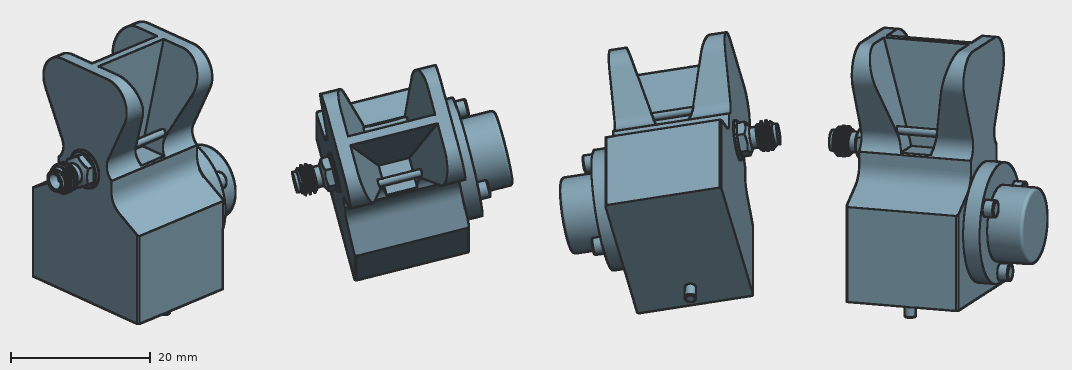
import cadquery as cq
import math

BLOCK_WIDTH = 22.1
BLOCK_DEPTH = 17.0
BLOCK_HEIGHT = 36.85
EDGE_CHAMFER = 0.25
FRONT_Y = -BLOCK_DEPTH / 2
REAR_Y = BLOCK_DEPTH / 2

SHOULDER_SLOPE = math.radians(30)
SHOULDER_RADIUS = 3.2
NECK_HALF_WIDTH = 5.48
NECK_BASE_Z = 19.1
SLOT_FLOOR_Z = 21.2
LEDGE_CHAMFER = 0.27
WAIST_HALF_WIDTH = 4.5
WAIST_RADIUS = 2.5
EAR_HALF_WIDTH = 8.65
EAR_RADIUS = 4.0

WEB_THICKNESS = 1.35
SLOT_TOP_WIDTH = 12.9
SLOT_FLOOR_WIDTH = 4.55

ROD_RADIUS = 0.55
ROD_X = 4.0
ROD_Z = 24.2
ROD_LENGTH = 7.05

PIN_X = 7.6
PIN_DIAMETER = 1.65
PIN_LENGTH = 2.25
PIN_CHAMFER = 0.15

FLANGE_Z = 10.7
FLANGE_DIAMETER = 17.55
FLANGE_THICKNESS = 2.5
COVER_DIAMETER = 11.05
COVER_LENGTH = 5.4
COVER_FILLET = 0.5
SCREW_CIRCLE_RADIUS = 7.15
SCREW_ANGLES = (30, 150, 270)
SCREW_HEAD_DIAMETER = 2.5
SCREW_HEAD_HEIGHT = 1.6
SCREW_CHAMFER = 0.15

CONNECTOR_Z = 20.92
CONNECTOR_LENGTH = 6.02
CONNECTOR_RADIUS = 1.53
COLLAR_RADIUS = 2.95
COLLAR_TIP_RADIUS = 2.7
COLLAR_RIM = 0.1
COLLAR_THICKNESS = 0.43
HEX_ACROSS_FLATS = 4.38
HEX_CHAMFER_START = 1.5
HEX_CHAMFER_ANGLE = math.radians(30)
THREAD_START = 3.05
THREAD_END = 5.45
THREAD_END_RADIUS = 1.65
THREAD_ROOT_RADIUS = 1.8
THREAD_CREST_RADIUS = 2.2
THREAD_PITCH = 0.7
THREAD_LEAD_IN = 0.2
THREAD_BASE_WIDTH = 0.45
THREAD_CREST_WIDTH = 0.1
THREAD_EMBED = 0.1
THREAD_CREST_CLEARANCE = 0.02
BORE_RADIUS = 1.2
BORE_DEPTH = 2.35
CONTACT_RADIUS = 0.5
CONTACT_HOLE_RADIUS = 0.2
CONTACT_LENGTH = 1.17


def point_on_circle(center, radius, angle):
    return (center[0] + radius * math.cos(angle), center[1] + radius * math.sin(angle))


def cylinder(plane, center, diameter, length):
    """Cylinder standing on a workplane and growing along its normal."""
    return cq.Workplane(plane).center(*center).circle(diameter / 2).extrude(length)


def half_block():
    """Right half of the block outline (X, Z), extruded through the full depth."""
    half_width = BLOCK_WIDTH / 2

    shoulder_center = (NECK_HALF_WIDTH + SHOULDER_RADIUS, NECK_BASE_Z)
    shoulder_end_angle = 1.5 * math.pi - SHOULDER_SLOPE
    shoulder_start = point_on_circle(shoulder_center, SHOULDER_RADIUS, shoulder_end_angle)
    shoulder_middle = point_on_circle(
        shoulder_center, SHOULDER_RADIUS, (math.pi + shoulder_end_angle) / 2)
    shoulder_drop = (half_width - shoulder_start[0]) * math.tan(SHOULDER_SLOPE)

    ledge_x = NECK_HALF_WIDTH - LEDGE_CHAMFER
    waist_x = WAIST_HALF_WIDTH + WAIST_RADIUS
    waist_rise = math.sqrt(WAIST_RADIUS**2 - (waist_x - ledge_x)**2)
    waist_center = (waist_x, SLOT_FLOOR_Z + waist_rise)

    ear_center = (EAR_HALF_WIDTH - EAR_RADIUS, BLOCK_HEIGHT - EAR_RADIUS)
    center_dx = waist_center[0] - ear_center[0]
    center_dz = waist_center[1] - ear_center[1]
    center_gap = math.hypot(center_dx, center_dz)
    tangent_angle = (math.atan2(center_dz, center_dx)
                     + math.acos((EAR_RADIUS + WAIST_RADIUS) / center_gap))
    waist_top = point_on_circle(waist_center, WAIST_RADIUS, tangent_angle + math.pi)
    ear_bottom = point_on_circle(ear_center, EAR_RADIUS, tangent_angle)

    return (
        cq.Workplane("XZ", origin=(0, REAR_Y, 0))
        .lineTo(half_width, 0)
        .lineTo(half_width, shoulder_start[1] - shoulder_drop)
        .lineTo(*shoulder_start)
        .threePointArc(shoulder_middle, (NECK_HALF_WIDTH, NECK_BASE_Z))
        .lineTo(NECK_HALF_WIDTH, SLOT_FLOOR_Z - LEDGE_CHAMFER)
        .lineTo(ledge_x, SLOT_FLOOR_Z)
        .threePointArc((WAIST_HALF_WIDTH, waist_center[1]), waist_top)
        .lineTo(*ear_bottom)
        .threePointArc((EAR_HALF_WIDTH, ear_center[1]), (ear_center[0], BLOCK_HEIGHT))
        .lineTo(0, BLOCK_HEIGHT)
        .close()
        .extrude(BLOCK_DEPTH)
    )


def side_slot():
    """Tapered opening from the web outward on the right side."""
    return (
        cq.Workplane("YZ", origin=(WEB_THICKNESS / 2, 0, 0))
        .moveTo(-SLOT_FLOOR_WIDTH / 2, SLOT_FLOOR_Z)
        .lineTo(SLOT_FLOOR_WIDTH / 2, SLOT_FLOOR_Z)
        .lineTo(SLOT_TOP_WIDTH / 2, BLOCK_HEIGHT)
        .lineTo(-SLOT_TOP_WIDTH / 2, BLOCK_HEIGHT)
        .close()
        .extrude(BLOCK_WIDTH / 2)
    )


def slot_rod():
    rear_end = cq.Plane(origin=(0, ROD_LENGTH / 2, 0), xDir=(1, 0, 0), normal=(0, -1, 0))
    return cylinder(rear_end, (ROD_X, ROD_Z), 2 * ROD_RADIUS, ROD_LENGTH)


def main_body():
    right_half = half_block().edges("|Z and >X").chamfer(EDGE_CHAMFER)
    right_half = right_half.cut(side_slot()).union(slot_rod())
    return right_half.union(right_half.mirror("YZ"))


def locating_pin():
    pin = cylinder(cq.Plane.XY(), (PIN_X, 0), PIN_DIAMETER, -PIN_LENGTH)
    return pin.faces("<Z").chamfer(PIN_CHAMFER)


def rear_plane(y):
    """Plane facing +Y at the flange axis, with its local Y along Z."""
    return cq.Plane(origin=(0, y, FLANGE_Z), xDir=(-1, 0, 0), normal=(0, 1, 0))


def rear_cover():
    flange_face = rear_plane(REAR_Y + FLANGE_THICKNESS)
    assembly = cylinder(rear_plane(REAR_Y), (0, 0), FLANGE_DIAMETER, FLANGE_THICKNESS)
    cover = cylinder(flange_face, (0, 0), COVER_DIAMETER, COVER_LENGTH)
    assembly = assembly.union(cover.faces(">Y").edges().fillet(COVER_FILLET))
    for angle in SCREW_ANGLES:
        place = point_on_circle((0, 0), SCREW_CIRCLE_RADIUS, math.radians(angle))
        head = cylinder(flange_face, place, SCREW_HEAD_DIAMETER, SCREW_HEAD_HEIGHT)
        assembly = assembly.union(head.faces(">Y").chamfer(SCREW_CHAMFER))
    return assembly


def turned(profile):
    """Revolve a (radius, height) outline about the local Z axis."""
    return cq.Workplane("XZ").polyline(profile).close().revolve(360, (0, 0, 0), (0, 1, 0))


def hex_nut():
    """Hexagon with corners on local Y and a conical outer end."""
    corner_radius = HEX_ACROSS_FLATS / math.sqrt(3)
    cone_height = (corner_radius - CONNECTOR_RADIUS) * math.tan(HEX_CHAMFER_ANGLE)
    nut_end = HEX_CHAMFER_START + cone_height
    prism = (
        cq.Workplane("XY")
        .polygon(6, 2 * corner_radius)
        .extrude(nut_end)
        .rotate((0, 0, 0), (0, 0, 1), 30)
    )
    cone = turned([
        (0, 0),
        (corner_radius, 0),
        (corner_radius, HEX_CHAMFER_START),
        (CONNECTOR_RADIUS, nut_end),
        (0, nut_end),
    ])
    return prism.intersect(cone)


def thread_envelope():
    """Threaded length, turned just clear of the crest, with 45 degree ends."""
    radius = THREAD_CREST_RADIUS + THREAD_CREST_CLEARANCE
    taper = radius - THREAD_END_RADIUS
    return turned([
        (0, THREAD_START),
        (THREAD_END_RADIUS, THREAD_START),
        (radius, THREAD_START + taper),
        (radius, THREAD_END - taper),
        (THREAD_END_RADIUS, THREAD_END),
        (0, THREAD_END),
    ])


def thread():
    """Right-handed ridge on a root cylinder, trimmed to the tapered envelope."""
    inner_radius = THREAD_ROOT_RADIUS - THREAD_EMBED
    helix_height = THREAD_LEAD_IN + THREAD_END - THREAD_START
    helix = cq.Wire.makeHelix(THREAD_PITCH, helix_height, inner_radius)
    ridge = (
        cq.Workplane("XZ")
        .polyline([
            (inner_radius, -THREAD_BASE_WIDTH / 2),
            (THREAD_CREST_RADIUS, -THREAD_CREST_WIDTH / 2),
            (THREAD_CREST_RADIUS, THREAD_CREST_WIDTH / 2),
            (inner_radius, THREAD_BASE_WIDTH / 2),
        ])
        .close()
        .sweep(cq.Workplane(helix), isFrenet=True)
        .translate((0, 0, THREAD_START - THREAD_LEAD_IN))
    )
    root = cylinder(cq.Plane.XY(), (0, 0), 2 * THREAD_ROOT_RADIUS, CONNECTOR_LENGTH)
    return root.union(ridge).intersect(thread_envelope())


def connector():
    """Connector built outward along local Z, then laid against the front face."""
    collar = turned([
        (0, 0),
        (COLLAR_RADIUS, 0),
        (COLLAR_RADIUS, COLLAR_RIM),
        (COLLAR_TIP_RADIUS, COLLAR_THICKNESS),
        (0, COLLAR_THICKNESS),
    ])
    barrel = cylinder(cq.Plane.XY(), (0, 0), 2 * CONNECTOR_RADIUS, CONNECTOR_LENGTH)
    bore_floor = cq.Plane(origin=(0, 0, CONNECTOR_LENGTH - BORE_DEPTH))
    bore = cylinder(bore_floor, (0, 0), 2 * BORE_RADIUS, BORE_DEPTH)
    contact = cylinder(bore_floor, (0, 0), 2 * CONTACT_RADIUS, CONTACT_LENGTH)
    contact_hole = cylinder(bore_floor, (0, 0), 2 * CONTACT_HOLE_RADIUS, CONTACT_LENGTH)

    body = collar.union(hex_nut()).union(barrel).union(thread()).cut(bore)
    body = body.union(contact.cut(contact_hole))
    return body.rotate((0, 0, 0), (1, 0, 0), 90).translate((0, FRONT_Y, CONNECTOR_Z))


result = main_body().union(locating_pin()).union(rear_cover()).union(connector())